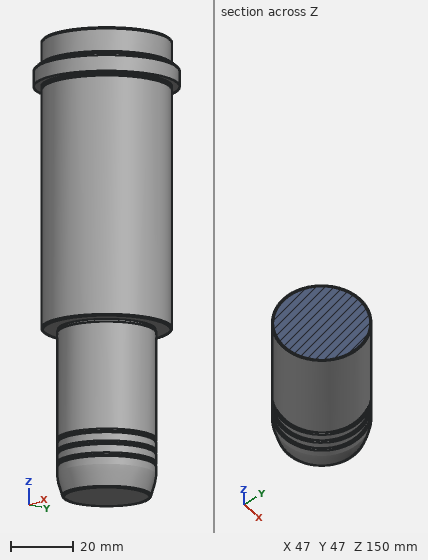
import cadquery as cq

total_height = 150.0
flange_diameter = 47.0
body_diameter = 42.0
spigot_diameter = 32.0

body_bottom = 55.0
flange_bottom = 135.0
flange_top = 141.0

body_top_chamfer = 0.6
body_bottom_chamfer = 0.5
flange_chamfer = 0.9

flange_relief_width = 1.0
flange_relief_depth = 0.5

spigot_relief_width = 0.9
spigot_relief_depth = 0.3

ring_groove_count = 3
lowest_groove_level = 10.5
groove_pitch = 3.9
groove_width = 1.2
groove_depth = 0.5

lead_in_height = 7.2
lead_in_tip_radius = 14.2
lead_in_middle_radius = 15.3
tip_chamfer = 0.5


def cylinder(diameter, bottom, top):
    return cq.Workplane("XY").workplane(offset=bottom).circle(diameter / 2).extrude(top - bottom)


def flat_groove_cutter(diameter, bottom, width, depth):
    """Ring that cuts a flat-bottomed groove into a cylinder."""
    return (
        cq.Workplane("XY")
        .workplane(offset=bottom)
        .circle(diameter / 2)
        .circle(diameter / 2 - depth)
        .extrude(width)
    )


def v_groove_cutter(diameter, bottom, width, depth):
    """Ring of diamond section that cuts a V-groove into a cylinder."""
    radius = diameter / 2
    section = [
        (radius, bottom),
        (radius - depth, bottom + width / 2),
        (radius, bottom + width),
        (radius + depth, bottom + width / 2),
    ]
    return cq.Workplane("XZ").polyline(section).close().revolve(360, (0, 0, 0), (0, 1, 0))


def make_lead_in():
    """Convex nose that widens from the tip to the spigot diameter."""
    return (
        cq.Workplane("XZ")
        .lineTo(lead_in_tip_radius - tip_chamfer, 0)
        .lineTo(lead_in_tip_radius, tip_chamfer)
        .threePointArc(
            (lead_in_middle_radius, lead_in_height / 2),
            (spigot_diameter / 2, lead_in_height),
        )
        .lineTo(0, lead_in_height)
        .close()
        .revolve(360, (0, 0, 0), (0, 1, 0))
    )


body = cylinder(body_diameter, body_bottom, total_height)
body = body.faces(">Z").chamfer(body_top_chamfer)
body = body.faces("<Z").chamfer(body_bottom_chamfer)
flange = cylinder(flange_diameter, flange_bottom, flange_top).faces(">Z").chamfer(flange_chamfer)
spigot = cylinder(spigot_diameter, lead_in_height, body_bottom)

for relief_bottom in (flange_top, flange_bottom - flange_relief_width):
    body = body.cut(
        v_groove_cutter(body_diameter, relief_bottom, flange_relief_width, flange_relief_depth)
    )
spigot = spigot.cut(
    flat_groove_cutter(
        spigot_diameter, body_bottom - spigot_relief_width, spigot_relief_width, spigot_relief_depth
    )
)

for index in range(ring_groove_count):
    groove_bottom = lowest_groove_level + index * groove_pitch - groove_width / 2
    spigot = spigot.cut(v_groove_cutter(spigot_diameter, groove_bottom, groove_width, groove_depth))

result = body.union(flange).union(spigot).union(make_lead_in())